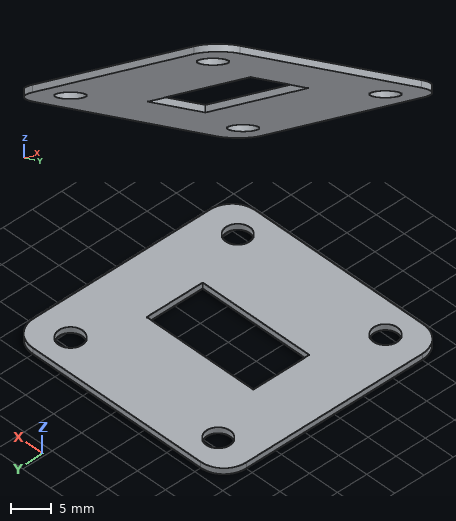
import cadquery as cq

side = 38.0
thickness = 1.0
corner_radius = 4.0

window_length = 19.05
window_width = window_length / 2

hole_diameter = 4.0
hole_spacing_x = 26.4
hole_spacing_y = 28.5

plate = (
    cq.Workplane("XY")
    .rect(side, side)
    .extrude(thickness)
    .edges("|Z")
    .fillet(corner_radius)
)

window = cq.Workplane("XY").rect(window_length, window_width).extrude(thickness)

mounting_holes = (
    cq.Workplane("XY")
    .rect(hole_spacing_x, hole_spacing_y, forConstruction=True)
    .vertices()
    .circle(hole_diameter / 2)
    .extrude(thickness)
)

result = plate.cut(window).cut(mounting_holes)